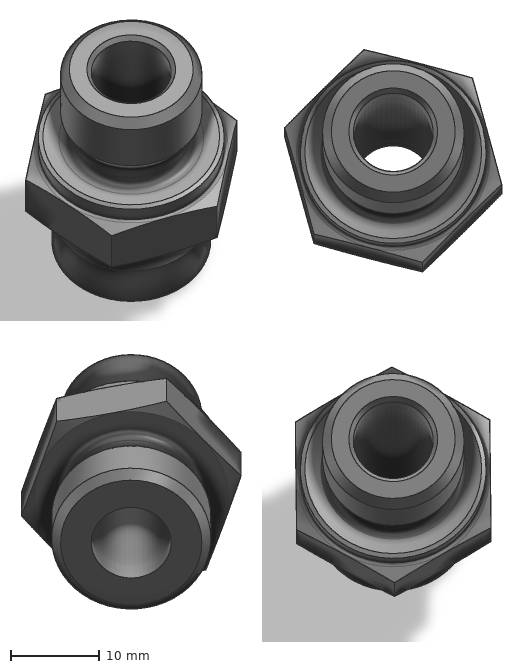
import cadquery as cq
import math

total_height = 31.5
hex_bottom = 11.0
hex_top = 17.48
collar_top = 19.5

hex_flats = 22.0
hex_corners = hex_flats / math.cos(math.radians(30))
hex_chamfer_radius = 10.95
hex_chamfer_angle = 15.0

lower_thread_radius = 18.0 / 2
lower_neck_radius = 15.7 / 2
lower_thread_top = 6.43
upper_thread_radius = 16.0 / 2
upper_neck_radius = 13.7 / 2
upper_thread_bottom = 24.07
end_chamfer = 1.0
runout_angle = math.radians(30)
runout_blend = 1.25
lower_fillet = 1.0

collar_radius = 21.0 / 2
sealing_edge_radius = 10.0
sealing_edge_drop = 0.15
dish_inner_radius = 8.2
dish_angle = math.radians(10)
dish_bottom = collar_top - (sealing_edge_radius - dish_inner_radius) * math.tan(dish_angle)
upper_fillet_top = 20.45

bore_radius = 9.0 / 2
bore_chamfer = 0.5


def runout_points(thread_radius, neck_radius, thread_edge, direction):
    """Cone start, cone end, blend middle and blend end; direction is +1 up, -1 down."""
    def blend_point(angle):
        return neck_radius + runout_blend * (1 - math.cos(angle)), runout_blend * math.sin(angle)

    cone_end_radius, blend_height = blend_point(runout_angle)
    middle_radius, middle_height = blend_point(runout_angle / 2)
    cone_height = (thread_radius - cone_end_radius) / math.tan(runout_angle)
    neck_edge = thread_edge + direction * (cone_height + blend_height)
    return (
        (thread_radius, thread_edge),
        (cone_end_radius, thread_edge + direction * cone_height),
        (middle_radius, neck_edge - direction * middle_height),
        (neck_radius, neck_edge),
    )


def make_turned_body():
    """Revolve the threaded ends, necks and collar as one solid."""
    lower = runout_points(lower_thread_radius, lower_neck_radius, lower_thread_top, 1)
    upper = runout_points(upper_thread_radius, upper_neck_radius, upper_thread_bottom, -1)
    profile = (
        cq.Workplane("XZ")
        .lineTo(lower_thread_radius - end_chamfer, 0)
        .lineTo(lower_thread_radius, end_chamfer)
        .lineTo(*lower[0])
        .lineTo(*lower[1])
        .threePointArc(lower[2], lower[3])
        .lineTo(lower_neck_radius, hex_bottom - lower_fillet)
        .tangentArcPoint((lower_neck_radius + lower_fillet, hex_bottom), relative=False)
        .lineTo(collar_radius, hex_bottom)
        .lineTo(collar_radius, collar_top - sealing_edge_drop)
        .lineTo(sealing_edge_radius, collar_top)
        .lineTo(dish_inner_radius, dish_bottom)
    )
    fillet_width = dish_inner_radius - upper_neck_radius
    fillet_height = upper_fillet_top - dish_bottom
    fillet_radius = (fillet_width**2 + fillet_height**2) / (2 * fillet_width)
    half_sweep = math.atan2(fillet_width, fillet_height)
    fillet_middle = (
        upper_neck_radius + fillet_radius * (1 - math.cos(half_sweep)),
        upper_fillet_top - fillet_radius * math.sin(half_sweep),
    )
    profile = (
        profile.threePointArc(fillet_middle, (upper_neck_radius, upper_fillet_top))
        .lineTo(*upper[3])
        .threePointArc(upper[2], upper[1])
        .lineTo(*upper[0])
        .lineTo(upper_thread_radius, total_height - end_chamfer)
        .lineTo(upper_thread_radius - end_chamfer, total_height)
        .lineTo(0, total_height)
        .close()
    )
    return profile.revolve(360, (0, 0), (0, 1))


def make_hexagon():
    """Hexagonal prism whose corners are turned down at both ends."""
    prism = (
        cq.Workplane("XY", origin=(0, 0, hex_bottom))
        .polygon(6, hex_corners)
        .extrude(hex_top - hex_bottom)
        .rotate((0, 0, 0), (0, 0, 1), 30)
    )
    outer_radius = hex_corners / 2 + 0.3
    drop = (outer_radius - hex_chamfer_radius) * math.tan(math.radians(hex_chamfer_angle))
    envelope = (
        cq.Workplane("XZ")
        .polyline([
            (0, hex_bottom),
            (hex_chamfer_radius, hex_bottom),
            (outer_radius, hex_bottom + drop),
            (outer_radius, hex_top - drop),
            (hex_chamfer_radius, hex_top),
            (0, hex_top),
        ])
        .close()
        .revolve(360, (0, 0), (0, 1))
    )
    return prism.intersect(envelope)


def make_bore():
    """Through bore with a chamfered upper rim."""
    return (
        cq.Workplane("XZ")
        .polyline([
            (0, 0),
            (bore_radius, 0),
            (bore_radius, total_height - bore_chamfer),
            (bore_radius + bore_chamfer, total_height),
            (0, total_height),
        ])
        .close()
        .revolve(360, (0, 0), (0, 1))
    )


result = make_turned_body().union(make_hexagon()).cut(make_bore())